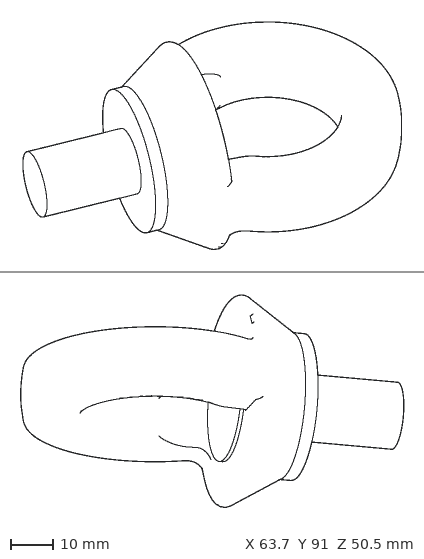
import cadquery as cq
import math


shank_diameter = 16.0
shank_length = 23.9
flange_diameter = 35.0
flange_thickness = 3.1

collar_top = 17.1
edge_fillet = 1.2

boss_diameter = 29.0
boss_height = 0.9

overall_length = 91.0
sphere_radius = 31.85
ring_thickness = 14.0
eye_diameter = 35.0
eye_edge_fillet = 2.9

window_top = 30.1
window_top_half_width = 16.65
window_foot_half_width = 15.5
window_corner_fillet = 0.9

leg_fillet = 3.4

flange_radius = flange_diameter / 2
half_thickness = ring_thickness / 2
ring_top = overall_length - shank_length
ring_center = ring_top - sphere_radius

center_height = ring_center - flange_thickness
edge_distance = math.hypot(center_height, flange_radius)
cone_angle = math.asin(sphere_radius / edge_distance) - math.atan2(flange_radius, center_height)
tangent_radius = sphere_radius * math.cos(cone_angle)
tangent_height = ring_center - sphere_radius * math.sin(cone_angle)

sharp_rim_radius = flange_radius + (collar_top - flange_thickness) * math.tan(cone_angle)


def cylinder_along_y(diameter, start, length):
    return cq.Workplane("XZ", origin=(0, start, 0)).circle(diameter / 2).extrude(-length)


def make_envelope():
    """Cone and sphere of revolution that bound the ring and its legs."""
    profile = (
        cq.Workplane("YZ")
        .moveTo(flange_thickness, 0)
        .lineTo(flange_thickness, flange_radius)
        .lineTo(tangent_height, tangent_radius)
        .threePointArc((ring_center, sphere_radius), (ring_top, 0))
        .close()
    )
    return profile.revolve(360, (0, 0), (1, 0))


def half_turn(shape):
    return shape.rotate((0, 0, 0), (0, 1, 0), 180)


def make_leg_blend():
    """Bar under a hollow fillet, between the +Z face of the -X leg and the collar top."""
    blend_top = collar_top + leg_fillet
    blend_side = half_thickness + leg_fillet
    return (
        cq.Workplane("YZ", origin=(-boss_diameter / 2, 0, 0))
        .moveTo(flange_thickness, 0)
        .lineTo(blend_top, 0)
        .lineTo(blend_top, half_thickness)
        .radiusArc((collar_top, blend_side), leg_fillet)
        .lineTo(flange_thickness, blend_side)
        .close()
        .extrude(-sphere_radius)
    )


def make_body():
    """Collar and solid ring disc, blended at two opposite corners, with rounded outer edges."""
    slab = cq.Workplane("XY").box(overall_length, 2 * overall_length, ring_thickness)
    below_collar_top = cylinder_along_y(overall_length, 0, collar_top)
    leg_blend = make_leg_blend()
    limits = slab.union(below_collar_top).union(leg_blend).union(half_turn(leg_blend))
    body = make_envelope().intersect(limits)

    rims = body.edges("%CIRCLE").edges(
        cq.selectors.NearestToPointSelector((0, collar_top, sharp_rim_radius))
        + cq.selectors.NearestToPointSelector((0, collar_top, -sharp_rim_radius))
    )
    return rims.fillet(edge_fillet)


def make_eye():
    """Round opening with flared edges, kept above the collar top."""
    eye_radius = eye_diameter / 2
    straight_half = half_thickness - eye_edge_fillet
    profile = (
        cq.Workplane("XZ", origin=(0, ring_center, 0))
        .moveTo(0, -half_thickness)
        .lineTo(eye_radius + eye_edge_fillet, -half_thickness)
        .radiusArc((eye_radius, -straight_half), eye_edge_fillet)
        .lineTo(eye_radius, straight_half)
        .radiusArc((eye_radius + eye_edge_fillet, half_thickness), eye_edge_fillet)
        .lineTo(0, half_thickness)
        .close()
    )
    eye = profile.revolve(360, (0, 0), (0, 1))
    return eye.cut(cylinder_along_y(overall_length, 0, collar_top))


def make_window():
    """Tapered opening between the legs, down to the collar top."""
    outline = [
        (-window_foot_half_width, collar_top),
        (window_foot_half_width, collar_top),
        (window_top_half_width, window_top),
        (-window_top_half_width, window_top),
    ]
    window = cq.Workplane("XY").polyline(outline).close().extrude(sphere_radius, both=True)
    return window.edges("|Z and <Y").fillet(window_corner_fillet)


boss_length = collar_top + boss_height - flange_thickness
result = (
    make_body()
    .cut(make_eye())
    .cut(make_window())
    .union(cylinder_along_y(boss_diameter, flange_thickness, boss_length))
    .union(cylinder_along_y(flange_diameter, 0, flange_thickness))
    .union(cylinder_along_y(shank_diameter, -shank_length, shank_length))
)